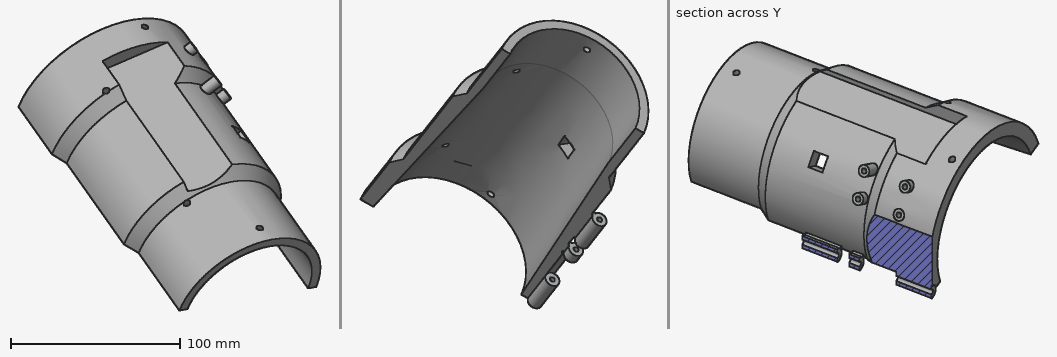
import cadquery as cq
import math

length = 178.0
large_radius = 60.0
middle_radius = 54.6
small_radius = 49.1
large_end = 41.0
middle_start = 49.8
middle_end = 119.8
small_start = 128.3
bore_large_radius = 51.0
bore_small_radius = 43.3
bore_taper_end = 139.7
split_angle = 20.0

flat_start = 20.6
flat_height = 50.2
flat_wall_y = -11.0

knuckle_radius = 4.6
knuckle_hole_diameter = 3.2
hinge_distance = 60.2
knuckle_spans = [(0.5, 25.6), (51.6, 59.1), (67.3, 92.4)]
web_thickness = 2.7

pin_diameter = 7.3
pin_hole_diameter = 3.2
pin_hole_depth = 5.3
pin_angle = 25.0
pin_lengths = [10.7, 8.0]
pin_row_x = [25.0, 54.0]
pin_tips_yz = [(48.5, 41.3), (54.8, 24.7)]

window_size = 10.0
window_reach = 17.8
window_x = 89.2
window_center_y = 44.5
window_center_z = 31.7

vertical_hole_diameter = 4.0
vertical_hole_points = [(7.0, 25.1), (39.7, -19.2), (130.1, -14.6), (167.5, 13.9)]


def tilted_plane(x, y, z):
    """Plane facing along the pins, tilted from +Y toward +Z."""
    tilt = math.radians(pin_angle)
    normal = (0, math.cos(tilt), math.sin(tilt))
    return cq.Plane(origin=(x, y, z), xDir=(1, 0, 0), normal=normal)


def make_shell():
    profile = [
        (0, bore_large_radius),
        (0, large_radius),
        (large_end, large_radius),
        (middle_start, middle_radius),
        (middle_end, middle_radius),
        (small_start, small_radius),
        (length, small_radius),
        (length, bore_small_radius),
        (bore_taper_end, bore_small_radius),
    ]
    half = cq.Workplane("XY").polyline(profile).close().revolve(180, (0, 0, 0), (1, 0, 0))
    return half.rotate((0, 0, 0), (1, 0, 0), -split_angle)


def cut_flat(body):
    cutter = cq.Workplane("XY").box(
        small_start - flat_start, large_radius - flat_wall_y, large_radius, centered=False
    )
    return body.cut(cutter.translate((flat_start, flat_wall_y, flat_height)))


def cut_window(body):
    plane = tilted_plane(window_x, window_center_y, window_center_z)
    window = cq.Workplane(plane).rect(window_size, window_size)
    return body.cut(window.extrude(window_reach, both=True))


def cut_vertical_holes(body):
    holes = cq.Workplane("XY").pushPoints(vertical_hole_points).circle(vertical_hole_diameter / 2)
    return body.cut(holes.extrude(large_radius))


def add_pins(body):
    for x in pin_row_x:
        for (y, z), pin_length in zip(pin_tips_yz, pin_lengths):
            tip = cq.Workplane(tilted_plane(x, y, z))
            body = body.union(tip.circle(pin_diameter / 2).extrude(-pin_length))
            body = body.cut(tip.circle(pin_hole_diameter / 2).extrude(-pin_hole_depth))
    return body


def add_hinge(body):
    tilt = math.radians(split_angle)
    hinge_y = hinge_distance * math.cos(tilt)
    hinge_z = -hinge_distance * math.sin(tilt)
    groove = cq.Workplane("YZ", origin=(0, hinge_y, hinge_z)).circle(knuckle_radius)
    body = body.cut(groove.extrude(middle_start))
    web_inner = (bore_large_radius + middle_radius) / 2
    for start, end in knuckle_spans:
        knuckle_plane = cq.Workplane("YZ", origin=(start, hinge_y, hinge_z))
        knuckle = knuckle_plane.circle(knuckle_radius).extrude(end - start)
        web = cq.Workplane("XY").box(
            end - start, hinge_distance - web_inner, web_thickness, centered=False
        )
        web = web.translate((start, web_inner, 0)).rotate((0, 0, 0), (1, 0, 0), -split_angle)
        bore = knuckle_plane.circle(knuckle_hole_diameter / 2).extrude(end - start)
        body = body.union(web).union(knuckle).cut(bore)
    return body


shell = cut_vertical_holes(cut_window(cut_flat(make_shell())))
result = add_hinge(add_pins(shell))